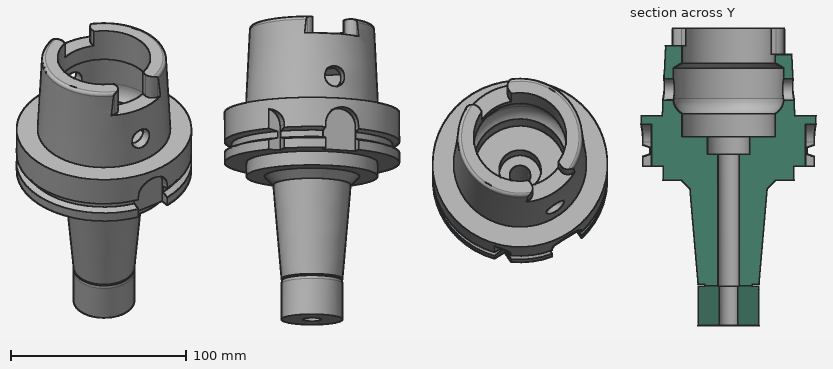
import cadquery as cq
import math


TAPER_HEIGHT = 50.0
TAPER_BASE_RADIUS = 38.0
TAPER_RATE = 1 / 20
TAPER_TOP_RADIUS = TAPER_BASE_RADIUS - TAPER_RATE * TAPER_HEIGHT
RIM_FILLET = 2.0

MOUTH_RADIUS = 26.5
MOUTH_DEPTH = 20.0
CHAMBER_RADIUS = 31.5
SHOULDER_ANGLE = 30.0
CHAMBER_CURVE_START_Z = 9.75
CHAMBER_CURVE_RADIUS = 10.0
CAVITY_FLOOR_Z = -12.0
COOLANT_SOCKET_RADIUS = 12.0
COOLANT_SOCKET_DEPTH = 10.0
HOLDER_BORE_RADIUS = 6.0

DRIVE_SLOT_WIDTH = 20.0
DRIVE_SLOT_DEPTHS = {-1: 10.0, 1: 15.0}
DRIVE_CORNER_X = 32.0
DRIVE_CORNER_RADIUS = 5.0

CROSS_HOLE_RADIUS = 6.0
CROSS_HOLE_Z = 15.0

FLANGE_RADIUS = 50.0
FLANGE_THICKNESS = 29.0
GROOVE_RADIUS = 46.0
GROOVE_Z = -20.125
GROOVE_FLOOR_WIDTH = 3.75
GROOVE_MOUTH_WIDTH = 6.5

KEYWAY_WIDTH = 20.0
KEYWAY_TOP_Z = -5.0
KEYWAY_FLOOR_X = 44.0
NOTCH_FLOOR_X = 32.0
NOTCH_CENTER_Y = 41.5

COLLAR_RADIUS = 37.5
COLLAR_BOTTOM_Z = -37.0
SHANK_FLARE_RADIUS = 27.2
SHANK_TOP_RADIUS = 22.2
SHANK_BOTTOM_RADIUS = 17.5
SHANK_BOTTOM_Z = -96.5
NECK_RADIUS = 13.75
NECK_LENGTH = 1.0

NUT_RADIUS = 17.5
NUT_TOP_RADIUS = 17.25
NUT_TAPER_HEIGHT = 1.6
NUT_BORE_RADIUS = 5.25
NUT_TOP_Z = SHANK_BOTTOM_Z - NECK_LENGTH
NUT_BOTTOM_Z = -120.0


def revolve_profile(points):
    """Turn a closed (radius, z) outline about the Z axis."""
    return cq.Workplane("XZ").polyline(points).close().revolve(360, (0, 0, 0), (0, 1, 0))


def holder_blank():
    """Outside of the holder, with the rim of the taper rounded."""
    flare_bottom_z = COLLAR_BOTTOM_Z - (SHANK_FLARE_RADIUS - SHANK_TOP_RADIUS)
    blank = revolve_profile([
        (0, TAPER_HEIGHT),
        (TAPER_TOP_RADIUS, TAPER_HEIGHT),
        (TAPER_BASE_RADIUS, 0),
        (FLANGE_RADIUS, 0),
        (FLANGE_RADIUS, GROOVE_Z + GROOVE_MOUTH_WIDTH / 2),
        (GROOVE_RADIUS, GROOVE_Z + GROOVE_FLOOR_WIDTH / 2),
        (GROOVE_RADIUS, GROOVE_Z - GROOVE_FLOOR_WIDTH / 2),
        (FLANGE_RADIUS, GROOVE_Z - GROOVE_MOUTH_WIDTH / 2),
        (FLANGE_RADIUS, -FLANGE_THICKNESS),
        (COLLAR_RADIUS, -FLANGE_THICKNESS),
        (COLLAR_RADIUS, COLLAR_BOTTOM_Z),
        (SHANK_FLARE_RADIUS, COLLAR_BOTTOM_Z),
        (SHANK_TOP_RADIUS, flare_bottom_z),
        (SHANK_BOTTOM_RADIUS, SHANK_BOTTOM_Z),
        (NECK_RADIUS, SHANK_BOTTOM_Z),
        (NECK_RADIUS, NUT_TOP_Z),
        (0, NUT_TOP_Z),
    ])
    return blank.faces(">Z").edges().fillet(RIM_FILLET)


def holder_cavity():
    """Stepped cavity: a chamber with a round-bottomed edge, coolant socket and bore."""
    mouth_bottom_z = TAPER_HEIGHT - MOUTH_DEPTH
    shoulder_height = (CHAMBER_RADIUS - MOUTH_RADIUS) * math.tan(math.radians(SHOULDER_ANGLE))
    socket_floor_z = CAVITY_FLOOR_Z - COOLANT_SOCKET_DEPTH
    curve_end_angle = math.acos(1 - (CHAMBER_RADIUS - MOUTH_RADIUS) / CHAMBER_CURVE_RADIUS)
    curve_center_radius = CHAMBER_RADIUS - CHAMBER_CURVE_RADIUS

    def curve_point(angle):
        """Point on the rounded lower edge of the chamber, angle measured down from the wall."""
        return (
            curve_center_radius + CHAMBER_CURVE_RADIUS * math.cos(angle),
            CHAMBER_CURVE_START_Z - CHAMBER_CURVE_RADIUS * math.sin(angle),
        )

    return (
        cq.Workplane("XZ")
        .moveTo(0, TAPER_HEIGHT)
        .lineTo(MOUTH_RADIUS, TAPER_HEIGHT)
        .lineTo(MOUTH_RADIUS, mouth_bottom_z)
        .lineTo(CHAMBER_RADIUS, mouth_bottom_z - shoulder_height)
        .lineTo(CHAMBER_RADIUS, CHAMBER_CURVE_START_Z)
        .threePointArc(curve_point(curve_end_angle / 2), curve_point(curve_end_angle))
        .lineTo(MOUTH_RADIUS, CAVITY_FLOOR_Z)
        .lineTo(COOLANT_SOCKET_RADIUS, CAVITY_FLOOR_Z)
        .lineTo(COOLANT_SOCKET_RADIUS, socket_floor_z)
        .lineTo(HOLDER_BORE_RADIUS, socket_floor_z)
        .lineTo(HOLDER_BORE_RADIUS, NUT_TOP_Z)
        .lineTo(0, NUT_TOP_Z)
        .close()
        .revolve(360, (0, 0, 0), (0, 1, 0))
    )


def drive_slot(side, depth):
    """Slot through the rim on one X side, flaring outward round the wall corners."""
    half_width = DRIVE_SLOT_WIDTH / 2
    arc_start_x = DRIVE_CORNER_X - DRIVE_CORNER_RADIUS
    arc_end_y = half_width + DRIVE_CORNER_RADIUS
    reach = TAPER_BASE_RADIUS
    return (
        cq.Workplane("XY", origin=(0, 0, TAPER_HEIGHT - depth))
        .moveTo(0, -half_width)
        .lineTo(side * arc_start_x, -half_width)
        .radiusArc((side * DRIVE_CORNER_X, -arc_end_y), side * DRIVE_CORNER_RADIUS)
        .lineTo(side * DRIVE_CORNER_X, -reach)
        .lineTo(side * reach, -reach)
        .lineTo(side * reach, reach)
        .lineTo(side * DRIVE_CORNER_X, reach)
        .lineTo(side * DRIVE_CORNER_X, arc_end_y)
        .radiusArc((side * arc_start_x, half_width), side * DRIVE_CORNER_RADIUS)
        .lineTo(0, half_width)
        .close()
        .extrude(depth)
    )


def flange_keyway(side, floor_x, center_y):
    """Round-topped keyway cut along X into the flange edge and open at the bottom."""
    half_width = KEYWAY_WIDTH / 2
    length = FLANGE_RADIUS - floor_x
    return (
        cq.Workplane("YZ", origin=(side * floor_x, 0, 0))
        .moveTo(center_y - half_width, -FLANGE_THICKNESS)
        .lineTo(center_y - half_width, KEYWAY_TOP_Z - half_width)
        .threePointArc(
            (center_y, KEYWAY_TOP_Z),
            (center_y + half_width, KEYWAY_TOP_Z - half_width),
        )
        .lineTo(center_y + half_width, -FLANGE_THICKNESS)
        .close()
        .extrude(side * length)
    )


def cross_hole():
    """Round hole along X through both walls of the taper."""
    return (
        cq.Workplane("YZ")
        .center(0, CROSS_HOLE_Z)
        .circle(CROSS_HOLE_RADIUS)
        .extrude(TAPER_BASE_RADIUS, both=True)
    )


def make_holder():
    holder = holder_blank().cut(holder_cavity()).cut(cross_hole())
    for side, depth in DRIVE_SLOT_DEPTHS.items():
        holder = holder.cut(drive_slot(side, depth))
        holder = holder.cut(flange_keyway(side, KEYWAY_FLOOR_X, 0))
    return holder.cut(flange_keyway(-1, NOTCH_FLOOR_X, NOTCH_CENTER_Y))


def make_nut():
    """Bored clamping nut, slightly tapered at its top and seated on the neck of the holder."""
    return revolve_profile([
        (NUT_BORE_RADIUS, NUT_TOP_Z),
        (NUT_TOP_RADIUS, NUT_TOP_Z),
        (NUT_RADIUS, NUT_TOP_Z - NUT_TAPER_HEIGHT),
        (NUT_RADIUS, NUT_BOTTOM_Z),
        (NUT_BORE_RADIUS, NUT_BOTTOM_Z),
    ])


holder = make_holder()
nut = make_nut()

result = cq.Compound.makeCompound([holder.val(), nut.val()])